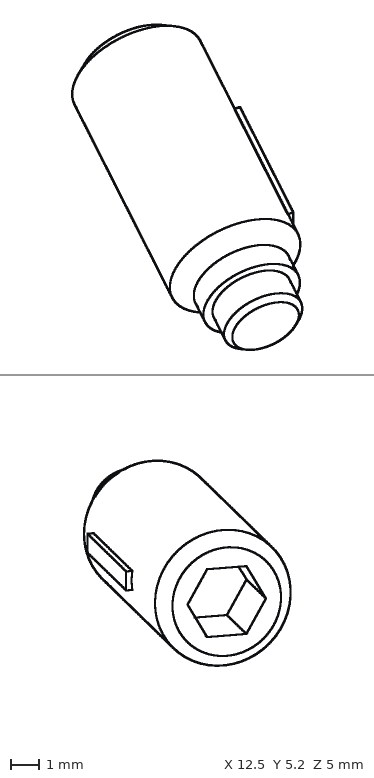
import cadquery as cq
import math

total_length = 12.5
body_radius = 2.5
socket_end_chamfer = 0.5
cone_start = 9.65
collar_radius = 1.85
collar_start = cone_start + body_radius - collar_radius
collar_end = 11.2
pin_radius = 1.5
pin_chamfer = 0.22

hex_across_flats = 2.5
hex_depth = hex_across_flats

pad_start = 3.5
pad_length = 5.0
pad_width = 0.7
pad_height = 0.2


def make_turned_body():
    """Screw body, tapered shoulder, collar and pin, revolved about the X axis."""
    half_profile = [
        (0, 0),
        (0, body_radius - socket_end_chamfer),
        (socket_end_chamfer, body_radius),
        (cone_start, body_radius),
        (collar_start, collar_radius),
        (collar_end, collar_radius),
        (collar_end, pin_radius),
        (total_length - pin_chamfer, pin_radius),
        (total_length, pin_radius - pin_chamfer),
        (total_length, 0),
    ]
    return cq.Workplane("XY").polyline(half_profile).close().revolve(360, (0, 0, 0), (1, 0, 0))


def make_pad():
    """Rectangular strip running from the axis to just beyond the body surface."""
    reach = body_radius + pad_height
    strip = cq.Workplane("XY").box(pad_length, reach, pad_width, centered=(False, False, True))
    return strip.translate((pad_start, 0, 0))


def make_hex_socket():
    """Hexagonal prism with two corners on the Y axis."""
    across_corners = hex_across_flats / math.cos(math.pi / 6)
    return cq.Workplane("YZ").polygon(6, across_corners).extrude(hex_depth)


result = make_turned_body().union(make_pad()).cut(make_hex_socket())